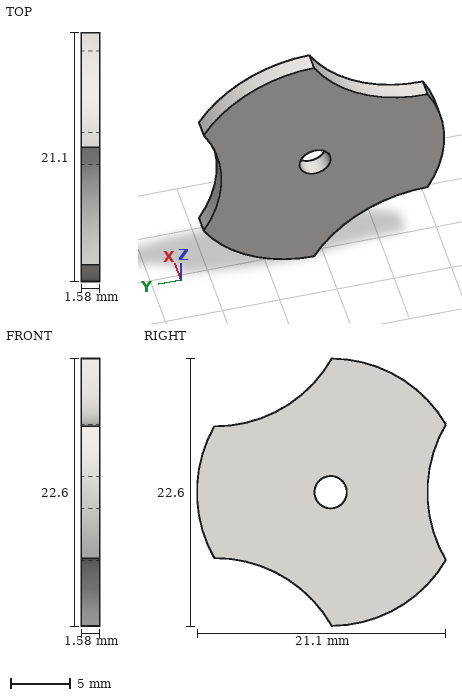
import cadquery as cq
import math

thickness = 1.58
disc_radius = 11.3
bore_diameter = 2.71
scallop_count = 3
scallop_radius = disc_radius
scallop_center_distance = 19.5


def cylinder_along_x(radius, y=0.0, z=0.0):
    """Cylinder as long as the plate is thick, with its axis parallel to X."""
    return cq.Workplane("YZ").center(y, z).circle(radius).extrude(thickness)


plate = cylinder_along_x(disc_radius).cut(cylinder_along_x(bore_diameter / 2))

for index in range(scallop_count):
    angle = 2 * math.pi * index / scallop_count
    scallop_y = scallop_center_distance * math.cos(angle)
    scallop_z = scallop_center_distance * math.sin(angle)
    plate = plate.cut(cylinder_along_x(scallop_radius, scallop_y, scallop_z))

result = plate